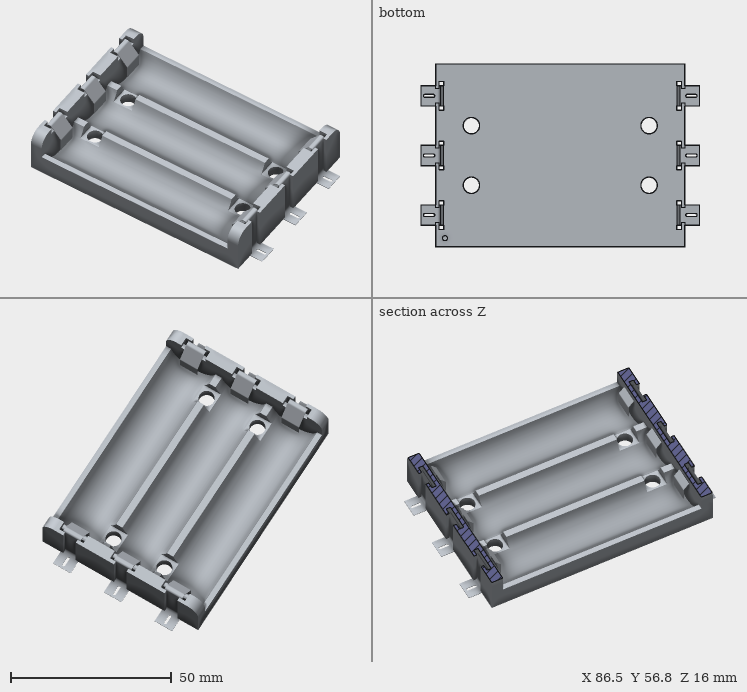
import cadquery as cq
import math

housing_length = 77.4
housing_width = 56.8
housing_height = 14.8
end_wall_thickness = 4.0
end_wall_corner_radius = 4.1
rail_height = 6.9
inner_length = housing_length - 2 * end_wall_thickness

cell_count = 3
cell_pitch = 18.5
groove_width = 16.3
groove_radius = 8.5
groove_axis_z = rail_height + math.sqrt(groove_radius**2 - (groove_width / 2) ** 2)
cell_ys = [(i - (cell_count - 1) / 2) * cell_pitch for i in range(cell_count)]

seat_length = 6.8
seat_width = 6.2
hole_diameter = 5.0
hole_x = 27.6
rail_ys = [(a + b) / 2 for a, b in zip(cell_ys, cell_ys[1:])]
seat_z = groove_axis_z - math.sqrt(groove_radius**2 - ((cell_pitch - seat_width) / 2) ** 2)

peg_diameter = 1.6
peg_height = 1.2
peg_x = -35.8
peg_y = 25.7

slot_width = 8.8
slot_thickness = 1.4
lip_thickness = 1.1
notch_width = 4.6
ledge_drop = 2.0
wall_outer_x = housing_length / 2
wall_inner_x = inner_length / 2
slot_outer_x = wall_outer_x - lip_thickness
slot_inner_x = slot_outer_x - slot_thickness

overall_length = 86.5
contact_width = 6.4
sheet = 0.2
foot_bend_radius = 0.8
top_bend_radius = 0.6
shoulder_radius = 0.8
riser_x = 37.4
shoulder_x = 36.2
tip_x = 31.9
tip_bottom_z = 6.0
knee_radius = 0.6
knee_z = 10.3
contact_drop = 0.2
foot_slot_length = 3.5
foot_slot_width = 0.9
foot_slot_x = 40.7


def box(x_min, x_max, y_center, y_size, z_min, z_max):
    return cq.Workplane("XY").box(
        x_max - x_min, y_size, z_max - z_min, centered=(False, True, False)
    ).translate((x_min, y_center, z_min))


def housing_blank():
    return (
        cq.Workplane("XY")
        .box(housing_length, housing_width, housing_height, centered=(True, True, False))
        .edges("|X and >Z")
        .fillet(end_wall_corner_radius)
    )


def cell_groove(y):
    """Cylinder that a cell lies in, cut only as far as the inner faces of the end walls."""
    start = (-wall_inner_x, y, groove_axis_z)
    return cq.Workplane("YZ", origin=start).circle(groove_radius).extrude(inner_length)


def contact_slot(y):
    """Space for one contact in the +X end wall."""
    slot = box(slot_inner_x, slot_outer_x, y, slot_width, 0, housing_height)
    notch = box(slot_outer_x, wall_outer_x, y, notch_width, 0, housing_height)
    ledge = box(wall_inner_x, slot_inner_x, y, slot_width, housing_height - ledge_drop, housing_height)
    return slot.union(notch).union(ledge)


def screw_seat(x, y):
    """Gap in the rail down to the seat, with the screw hole below it."""
    gap = box(x - seat_length / 2, x + seat_length / 2, y, cell_pitch, seat_z, rail_height)
    hole = cq.Workplane("XY").center(x, y).circle(hole_diameter / 2).extrude(rail_height)
    return gap.union(hole)


def make_housing():
    body = housing_blank()
    body = body.cut(box(-wall_inner_x, wall_inner_x, 0, housing_width, rail_height, housing_height))
    for y in cell_ys:
        body = body.cut(cell_groove(y))
        slot = contact_slot(y)
        body = body.cut(slot).cut(slot.mirror("YZ"))
    for y in rail_ys:
        for x in (-hole_x, hole_x):
            body = body.cut(screw_seat(x, y))
    peg = cq.Workplane("XY").center(peg_x, peg_y).circle(peg_diameter / 2).extrude(-peg_height)
    return body.union(peg).solids()


def contact_profile():
    """Closed XZ outline of the sheet on the +X side."""
    top = housing_height - contact_drop
    dx = shoulder_x - tip_x
    dz = top - shoulder_radius - knee_z
    ramp = math.asin(shoulder_radius / math.hypot(dx, dz)) + math.atan2(dz, dx)
    half_ramp = ramp / 2
    knee_x = tip_x + knee_radius
    knee_center_z = knee_z - knee_radius * math.tan((math.pi / 2 - ramp) / 2)
    knee_middle = (math.pi / 2 + ramp) / 2

    def shoulder(radius, angle):
        return (
            shoulder_x - radius * math.sin(angle),
            top - shoulder_radius + radius * math.cos(angle),
        )

    def knee(radius, angle):
        return (knee_x - radius * math.sin(angle), knee_center_z + radius * math.cos(angle))

    def bend(x, z, radius, x_sign, z_sign):
        return (x + x_sign * radius * math.sqrt(0.5), z + z_sign * radius * math.sqrt(0.5))

    foot_x = riser_x + foot_bend_radius
    foot_z = sheet + foot_bend_radius
    cap_x = riser_x - top_bend_radius
    cap_z = top - top_bend_radius
    inner_top = top_bend_radius - sheet
    inner_knee = knee_radius - sheet
    inner_shoulder = shoulder_radius - sheet
    return (
        cq.Workplane("XZ")
        .moveTo(overall_length / 2, 0)
        .lineTo(overall_length / 2, sheet)
        .lineTo(foot_x, sheet)
        .threePointArc(bend(foot_x, foot_z, foot_bend_radius, -1, -1), (riser_x, foot_z))
        .lineTo(riser_x, cap_z)
        .threePointArc(bend(cap_x, cap_z, top_bend_radius, 1, 1), (cap_x, top))
        .lineTo(shoulder_x, top)
        .threePointArc(shoulder(shoulder_radius, half_ramp), shoulder(shoulder_radius, ramp))
        .lineTo(*knee(knee_radius, ramp))
        .threePointArc(knee(knee_radius, knee_middle), (tip_x, knee_center_z))
        .lineTo(tip_x, tip_bottom_z)
        .lineTo(tip_x + sheet, tip_bottom_z)
        .lineTo(tip_x + sheet, knee_center_z)
        .threePointArc(knee(inner_knee, knee_middle), knee(inner_knee, ramp))
        .lineTo(*shoulder(inner_shoulder, ramp))
        .threePointArc(shoulder(inner_shoulder, half_ramp), (shoulder_x, top - sheet))
        .lineTo(cap_x, top - sheet)
        .threePointArc(bend(cap_x, cap_z, inner_top, 1, 1), (riser_x - sheet, cap_z))
        .lineTo(riser_x - sheet, foot_z)
        .threePointArc(bend(foot_x, foot_z, foot_bend_radius + sheet, -1, -1), (foot_x, 0))
        .close()
    )


def make_contact():
    """Contact on the +X side, centred on Y = 0."""
    strip = contact_profile().extrude(contact_width / 2, both=True)
    relief = (contact_width - notch_width) / 2
    relief_top = sheet + foot_bend_radius
    for side in (-1, 1):
        y = side * (notch_width + relief) / 2
        strip = strip.cut(box(slot_outer_x, wall_outer_x, y, relief, 0, relief_top))
    foot_slot = (
        cq.Workplane("XY")
        .center(foot_slot_x, 0)
        .slot2D(foot_slot_length, foot_slot_width)
        .extrude(sheet)
    )
    return strip.cut(foot_slot).solids()


housing = make_housing()
contact = make_contact()
contacts = []
for cell_y in cell_ys:
    contacts.append(contact.translate((0, cell_y, 0)).val())
    contacts.append(contact.mirror("YZ").translate((0, cell_y, 0)).val())

result = cq.Compound.makeCompound([housing.val(), *contacts])